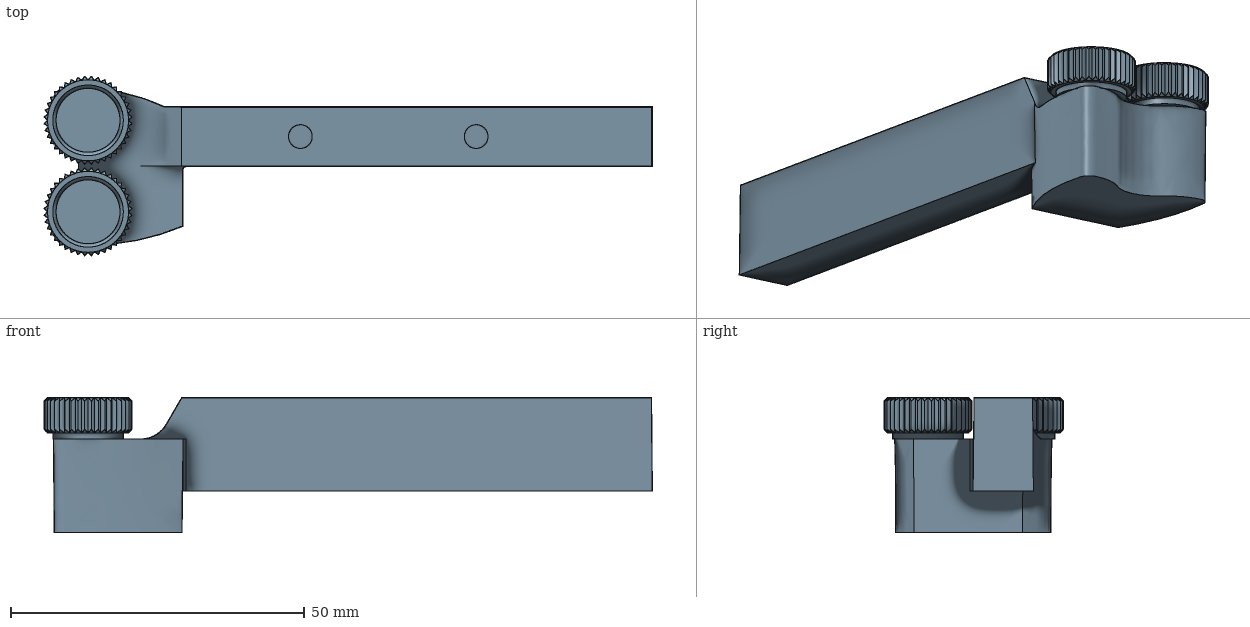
import cadquery as cq
import math

overall_length = 103.7
overall_width = 30.6
overall_height = 23.0

knob_diameter = 15.0
tooth_count = 40
tooth_depth = 0.6
rim_chamfer = 0.6
collar_diameter = 12.0
collar_height = 1.0
groove_outer_diameter = 12.0
groove_inner_diameter = 10.9
groove_depth = 0.5

head_height = 16.0
head_front_x = -5.9
head_back_x = 16.2
lobe_inner_y = 4.6
lobe_radius = 10.0
nose_radius = 2.1
nose_center_y = 11.2
near_side_lean = 6.0
near_side_end_y = 10.3
far_side_lean = 4.0
far_side_end_y = 8.4

arm_near_y = -0.1
arm_far_y = 10.2
arm_height = 16.0
ramp_top_x = 16.0
ramp_angle = 60.0
ramp_radius = 5.0
corner_fillet = 0.5
draft_angle = 0.5

mark_diameter = 4.0
mark_depth = 0.1
first_mark_x = 36.2
mark_spacing = 30.0

tooth_pitch = 360.0 / tooth_count
knob_reach = knob_diameter / 2 * math.cos(math.radians(tooth_pitch / 2))
knob_y = overall_width / 2 - knob_reach
arm_end_x = overall_length - knob_reach
arm_middle_y = (arm_near_y + arm_far_y) / 2
arm_bottom_z = overall_height - arm_height


def polar(radius, degrees):
    angle = math.radians(degrees)
    return (radius * math.cos(angle), radius * math.sin(angle))


def make_knob(y):
    """Knob on the axis x = 0 at the given y, standing on the head."""
    rim_bottom = head_height + collar_height
    rim_height = overall_height - rim_bottom
    tip_radius = knob_diameter / 2

    outline = []
    for tooth in range(tooth_count):
        outline.append(polar(tip_radius - tooth_depth, tooth * tooth_pitch))
        outline.append(polar(tip_radius, (tooth + 0.5) * tooth_pitch))
    teeth = cq.Workplane("XY").workplane(offset=rim_bottom).polyline(outline).close().extrude(rim_height)
    envelope = (
        cq.Workplane("XY").workplane(offset=rim_bottom)
        .circle(tip_radius).extrude(rim_height)
        .edges().chamfer(rim_chamfer)
    )
    rim = teeth.intersect(envelope)

    collar = cq.Workplane("XY").workplane(offset=head_height).circle(collar_diameter / 2).extrude(collar_height)
    groove = (
        cq.Workplane("XZ")
        .moveTo(groove_inner_diameter / 2, overall_height)
        .lineTo(groove_inner_diameter / 2, overall_height - groove_depth)
        .lineTo(groove_outer_diameter / 2, overall_height)
        .close()
        .revolve(360, (0, 0, 0), (0, 1, 0))
    )
    return rim.union(collar).cut(groove).translate((0, y, 0))


def nose_point(lean):
    """Point where the nose has turned to within the given angle of X, on the +Y side."""
    angle = math.radians(lean)
    nose_center_x = head_front_x + nose_radius
    return (nose_center_x - nose_radius * math.sin(angle), nose_center_y + nose_radius * math.cos(angle))


def head_outline(z):
    """Outline of the head: two lobes with a waist between them, and bowed sides.

    Apart from the two corners at the back, every arc runs tangentially into the next.
    """
    lobe_turn = math.asin((nose_center_y - lobe_inner_y) / lobe_radius)
    lobe_inner_x = head_front_x + lobe_radius * (1 - math.cos(lobe_turn))
    lobe_mid_x = head_front_x + lobe_radius * (1 - math.cos(lobe_turn / 2))
    lobe_mid_y = nose_center_y - lobe_radius * math.sin(lobe_turn / 2)
    waist_radius = lobe_inner_y / math.sin(lobe_turn)
    waist_x = lobe_inner_x + waist_radius * (1 - math.cos(lobe_turn))

    near_x, near_y = nose_point(near_side_lean)
    far_x, far_y = nose_point(far_side_lean)

    chord_x = head_back_x - near_x
    chord_y = near_side_end_y - near_y
    half_turn = math.radians(near_side_lean) - math.atan2(chord_y, chord_x)
    bow = math.tan(half_turn / 2) / 2
    near_mid = (near_x + chord_x / 2 - bow * chord_y, -near_y - chord_y / 2 - bow * chord_x)
    return (
        cq.Workplane("XY").workplane(offset=z)
        .moveTo(lobe_inner_x, -lobe_inner_y)
        .threePointArc((waist_x, 0), (lobe_inner_x, lobe_inner_y))
        .threePointArc((lobe_mid_x, lobe_mid_y), (head_front_x, nose_center_y))
        .tangentArcPoint((far_x, far_y), relative=False)
        .tangentArcPoint((head_back_x, far_side_end_y), relative=False)
        .lineTo(head_back_x, -near_side_end_y)
        .threePointArc(near_mid, (near_x, -near_y))
        .tangentArcPoint((head_front_x, -nose_center_y), relative=False)
        .threePointArc((lobe_mid_x, -lobe_mid_y), (lobe_inner_x, -lobe_inner_y))
        .close()
    )


def make_head():
    """Head prism, drafted so that it narrows downward."""
    return head_outline(head_height).extrude(-head_height, taper=draft_angle)


def make_bar():
    """Straight bar of the arm, drafted so that it narrows upward."""
    return (
        cq.Workplane("XY").workplane(offset=arm_bottom_z)
        .moveTo(0, arm_near_y)
        .lineTo(arm_end_x, arm_near_y)
        .lineTo(arm_end_x, arm_far_y)
        .lineTo(0, arm_far_y)
        .close()
        .extrude(arm_height, taper=draft_angle)
    )


def make_ramp_side_profile():
    """Space that the arm may fill: behind the ramp, which rises from a rounded foot on the head."""
    slope = math.radians(ramp_angle)
    corner_x = ramp_top_x - (overall_height - head_height) / math.tan(slope)
    tangent = ramp_radius * math.tan(slope / 2)
    foot_x = corner_x - tangent
    arc_mid = (
        foot_x + ramp_radius * math.sin(slope / 2),
        head_height + ramp_radius * (1 - math.cos(slope / 2)),
    )
    arc_end = (
        foot_x + ramp_radius * math.sin(slope),
        head_height + ramp_radius * (1 - math.cos(slope)),
    )
    return (
        cq.Workplane("XZ")
        .moveTo(foot_x, arm_bottom_z)
        .lineTo(foot_x, head_height)
        .threePointArc(arc_mid, arc_end)
        .lineTo(ramp_top_x, overall_height)
        .lineTo(arm_end_x, overall_height)
        .lineTo(arm_end_x, arm_bottom_z)
        .close()
        .extrude(overall_width, both=True)
    )


def make_ramp_flank():
    """Part of the ramp beyond the bar, which follows the bowed side of the head."""
    above_head = head_outline(head_height).extrude(overall_height - head_height)
    beside_bar = cq.Workplane("XY").box(head_back_x, overall_width, overall_height, centered=False)
    return above_head.intersect(beside_bar.translate((0, arm_middle_y, 0)))


def make_corner_fillet():
    """Concave fillet in the inner corner between the back of the head and the bar."""
    return (
        cq.Workplane("XY").workplane(offset=arm_bottom_z)
        .center(head_back_x, arm_near_y)
        .moveTo(-corner_fillet, corner_fillet)
        .lineTo(-corner_fillet, -corner_fillet)
        .lineTo(0, -corner_fillet)
        .radiusArc((corner_fillet, 0), corner_fillet)
        .lineTo(corner_fillet, corner_fillet)
        .close()
        .extrude(head_height - arm_bottom_z)
    )


def make_marks():
    """Shallow round recesses along the middle of the arm's top face."""
    places = [(first_mark_x + i * mark_spacing, arm_middle_y) for i in range(2)]
    return (
        cq.Workplane("XY").workplane(offset=overall_height - mark_depth)
        .pushPoints(places)
        .circle(mark_diameter / 2)
        .extrude(mark_depth)
    )


def make_holder():
    """Head and arm, one solid."""
    arm = make_bar().union(make_ramp_flank()).intersect(make_ramp_side_profile())
    return make_head().union(arm).union(make_corner_fillet()).cut(make_marks())


holder = make_holder()
knobs = [make_knob(side * knob_y) for side in (-1, 1)]

result = cq.Compound.makeCompound([holder.val(), *[knob.val() for knob in knobs]])